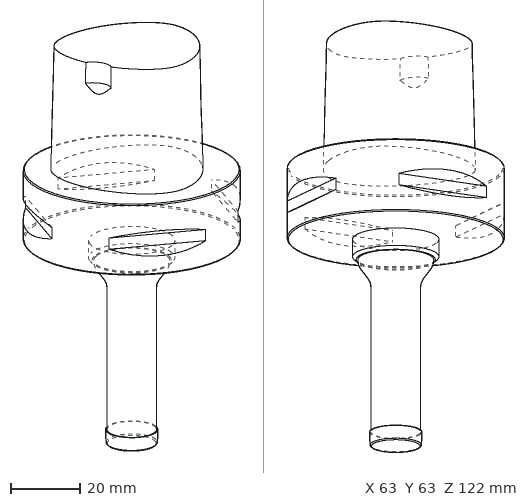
import cadquery as cq
import math


SHANK_TOP = 37.8
SHANK_DIAMETER = 44.0
SHANK_LOBE = 1.4
SHANK_BASE_HEIGHT = 2.7
TAPER_RATIO = 1 / 20
OUTLINE_POINTS = 72

NOTCH_RADIUS = 5.4
NOTCH_AXIS_Y = -22.8
NOTCH_DEPTH = 6.3

FLANGE_DIAMETER = 63.0
FLANGE_HEIGHT = 21.7
FLANGE_CHAMFER = 0.4

GROOVE_COUNT = 4
GROOVE_Z = -12.2
GROOVE_FLOOR_RADIUS = 27.9
GROOVE_FLOOR_HEIGHT = 3.4
GROOVE_SIDE_ANGLE = 31.0

COLLAR_RADIUS = 25.0 / 2
COLLAR_BOTTOM = -27.0
COLLAR_LOWER_RADIUS = 11.5
COLLAR_BEVEL_BOTTOM = -27.8
SHOULDER_RADIUS = 22.0 / 2
CONE_TOP = -29.3
CONE_BOTTOM = -34.5
SHOULDER_ROUND = 3.0
NECK_ROUND = 4.9
STEM_RADIUS = 14.4 / 2
STEM_BOTTOM = -79.5

TIP_BOTTOM = SHANK_TOP - 122.0
TIP_RADIUS = 7.6
TIP_LAND_BOTTOM = -82.0
TIP_LOWER_RADIUS = 7.5
TIP_CHAMFER = 0.4
TIP_CONE_HEIGHT = 0.4


def shank_outline(diameter, z):
    """Closed three-lobed curve with one lobe towards +Y and a flat towards -Y."""
    points = []
    for i in range(OUTLINE_POINTS):
        angle = 2 * math.pi * i / OUTLINE_POINTS
        nose = (diameter / 2 * math.cos(angle) + 2 * SHANK_LOBE * math.cos(2 * angle)
                - SHANK_LOBE * math.cos(4 * angle))
        side = (diameter / 2 * math.sin(angle) - 2 * SHANK_LOBE * math.sin(2 * angle)
                - SHANK_LOBE * math.sin(4 * angle))
        points.append(cq.Vector(-side, nose, z))
    return cq.Wire.assembleEdges([cq.Edge.makeSpline(points, periodic=True)])


def make_shank():
    top_diameter = SHANK_DIAMETER - TAPER_RATIO * (SHANK_TOP - SHANK_BASE_HEIGHT)
    foot = shank_outline(SHANK_DIAMETER, 0)
    taper_start = shank_outline(SHANK_DIAMETER, SHANK_BASE_HEIGHT)
    top = shank_outline(top_diameter, SHANK_TOP)
    base = cq.Workplane(cq.Solid.makeLoft([foot, taper_start], True))
    taper = cq.Workplane(cq.Solid.makeLoft([taper_start, top], True))
    return base.union(taper).cut(make_notch())


def make_notch():
    """Cylinder with a 45 degree cone at its lower end."""
    rim = SHANK_TOP - NOTCH_DEPTH
    return (
        cq.Workplane("XZ")
        .polyline([(0, SHANK_TOP), (NOTCH_RADIUS, SHANK_TOP), (NOTCH_RADIUS, rim), (0, rim - NOTCH_RADIUS)])
        .close()
        .revolve(360, (0, 0), (0, 1))
        .translate((0, NOTCH_AXIS_Y, 0))
    )


def make_groove():
    """Straight trapezoidal cutter on the +X side, running along Y."""
    outer = FLANGE_DIAMETER / 2 + 1.2
    floor_half = GROOVE_FLOOR_HEIGHT / 2
    mouth_half = floor_half + (outer - GROOVE_FLOOR_RADIUS) * math.tan(math.radians(GROOVE_SIDE_ANGLE))
    return (
        cq.Workplane("XZ")
        .polyline([
            (GROOVE_FLOOR_RADIUS, GROOVE_Z - floor_half),
            (outer, GROOVE_Z - mouth_half),
            (outer, GROOVE_Z + mouth_half),
            (GROOVE_FLOOR_RADIUS, GROOVE_Z + floor_half),
        ])
        .close()
        .extrude(FLANGE_DIAMETER / 2, both=True)
    )


def make_flange():
    flange = (
        cq.Workplane("XY")
        .circle(FLANGE_DIAMETER / 2)
        .extrude(-FLANGE_HEIGHT)
        .edges()
        .chamfer(FLANGE_CHAMFER)
    )
    for i in range(GROOVE_COUNT):
        angle = (i + 0.5) * 360 / GROOVE_COUNT
        flange = flange.cut(make_groove().rotate((0, 0, 0), (0, 0, 1), angle))
    return flange


def make_stem():
    """Collar, conical shoulder and slender stem, turned about Z."""
    stem = (
        cq.Workplane("XZ")
        .polyline([
            (0, -FLANGE_HEIGHT),
            (COLLAR_RADIUS, -FLANGE_HEIGHT),
            (COLLAR_RADIUS, COLLAR_BOTTOM),
            (COLLAR_LOWER_RADIUS, COLLAR_BEVEL_BOTTOM),
            (SHOULDER_RADIUS, COLLAR_BEVEL_BOTTOM),
            (SHOULDER_RADIUS, CONE_TOP),
            (STEM_RADIUS, CONE_BOTTOM),
            (STEM_RADIUS, STEM_BOTTOM),
            (0, STEM_BOTTOM),
        ])
        .close()
        .revolve(360, (0, 0), (0, 1))
    )
    stem = stem.edges(circle_at(SHOULDER_RADIUS, CONE_TOP)).fillet(SHOULDER_ROUND)
    return stem.edges(circle_at(STEM_RADIUS, CONE_BOTTOM)).fillet(NECK_ROUND)


def circle_at(radius, z):
    """Selector for the edge that lies wholly within the given level and radius."""
    margin = 0.1
    reach = radius + margin
    return cq.selectors.BoxSelector(
        (-reach, -reach, z - margin), (reach, reach, z + margin), boundingbox=True
    )


def make_holder():
    return make_shank().union(make_flange()).union(make_stem())


def make_tip():
    """Slightly larger end piece that butts against the stem."""
    face_z = TIP_BOTTOM + TIP_CONE_HEIGHT
    return (
        cq.Workplane("XZ")
        .polyline([
            (0, STEM_BOTTOM),
            (TIP_RADIUS, STEM_BOTTOM),
            (TIP_RADIUS, TIP_LAND_BOTTOM),
            (TIP_LOWER_RADIUS, face_z + TIP_CHAMFER),
            (TIP_LOWER_RADIUS - TIP_CHAMFER, face_z),
            (0, TIP_BOTTOM),
        ])
        .close()
        .revolve(360, (0, 0), (0, 1))
    )


holder = make_holder()
tip = make_tip()
result = cq.Compound.makeCompound([holder.val(), tip.val()])